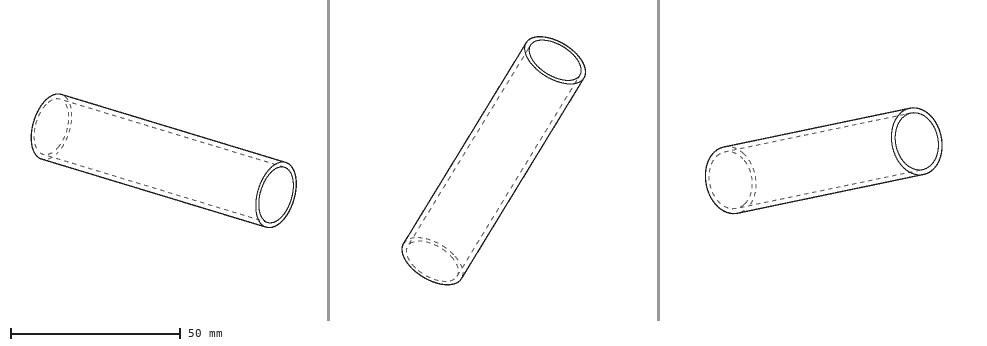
import cadquery as cq

length = 82.6
outer_diameter = 20.0
wall_thickness = 1.5
inner_diameter = outer_diameter - 2 * wall_thickness

result = (
    cq.Workplane("YZ")
    .circle(outer_diameter / 2)
    .circle(inner_diameter / 2)
    .extrude(length)
)